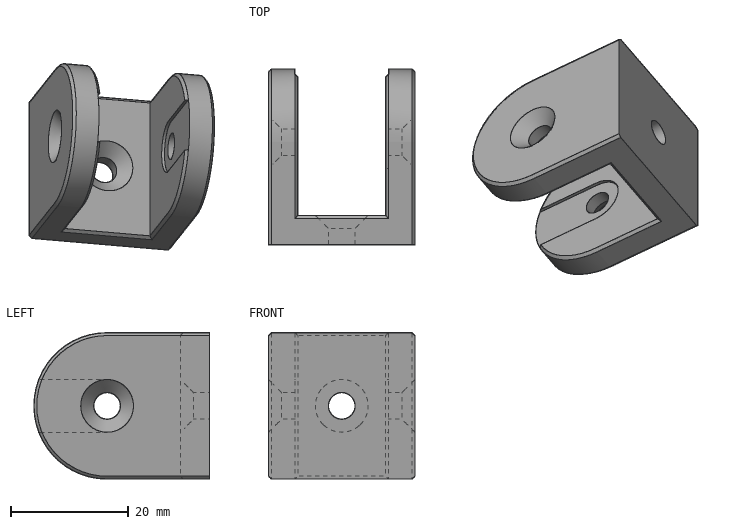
import cadquery as cq

width = 25.0
height = 25.0
length = 30.0
wall = 5.0
edge_chamfer = 0.5
hole_diameter = 4.5
countersink_diameter = 9.0
relief_width = 9.0
relief_depth = 0.5

nose_radius = height / 2
pivot_y = length - nose_radius
slot_width = width - 2 * wall


def pivot_plane(x):
    """Workplane at the given X, facing +X, with its origin on the pivot axis."""
    return cq.Workplane("YZ", origin=(x, pivot_y, 0))


def rounded_block():
    """Solid block with a half-round nose about the pivot axis and chamfered sides."""
    block = (
        pivot_plane(-width / 2)
        .moveTo(-pivot_y, -height / 2)
        .lineTo(0, -height / 2)
        .threePointArc((nose_radius, 0), (0, height / 2))
        .lineTo(-pivot_y, height / 2)
        .close()
        .extrude(width)
    )
    return block.faces("<X or >X").edges("not(<Y)").chamfer(edge_chamfer)


def cut_slot(body):
    """Open the slot between the lugs and chamfer the rim of its three faces."""
    slot = (
        cq.Workplane("XY", origin=(0, wall, 0))
        .box(slot_width, length, height, centered=(True, False, True))
    )
    slotted = body.cut(slot)
    margin = edge_chamfer
    slot_faces = cq.selectors.BoxSelector(
        (-slot_width / 2 - margin, wall - margin, -margin),
        (slot_width / 2 + margin, length, margin),
    )
    return slotted.faces(slot_faces).edges("not(|Z)").chamfer(edge_chamfer)


def cut_relief_grooves(body):
    """Cut a shallow groove in both inner faces, from around the pivot hole out through the nose."""
    relief_span = slot_width + 2 * relief_depth
    start = pivot_plane(-relief_span / 2)
    round_end = start.circle(relief_width / 2).extrude(relief_span)
    channel = start.center(nose_radius / 2, 0).rect(nose_radius, relief_width).extrude(relief_span)
    return body.cut(round_end).cut(channel)


def hole_cutter(mouth, direction):
    """Countersunk hole through one wall, entering at the mouth point along the direction."""
    countersink_depth = (countersink_diameter - hole_diameter) / 2
    shank = cq.Solid.makeCylinder(hole_diameter / 2, wall, mouth, direction)
    countersink = cq.Solid.makeCone(
        countersink_diameter / 2,
        hole_diameter / 2,
        countersink_depth,
        mouth,
        direction,
    )
    return cq.Workplane("XY").add(shank.fuse(countersink))


def drill_holes(body):
    """Drill each lug from its outer face and the base from inside the slot."""
    for side in (-1, 1):
        lug_mouth = cq.Vector(side * width / 2, pivot_y, 0)
        body = body.cut(hole_cutter(lug_mouth, cq.Vector(-side, 0, 0)))
    base_mouth = cq.Vector(0, wall, 0)
    return body.cut(hole_cutter(base_mouth, cq.Vector(0, -1, 0)))


result = drill_holes(cut_relief_grooves(cut_slot(rounded_block())))